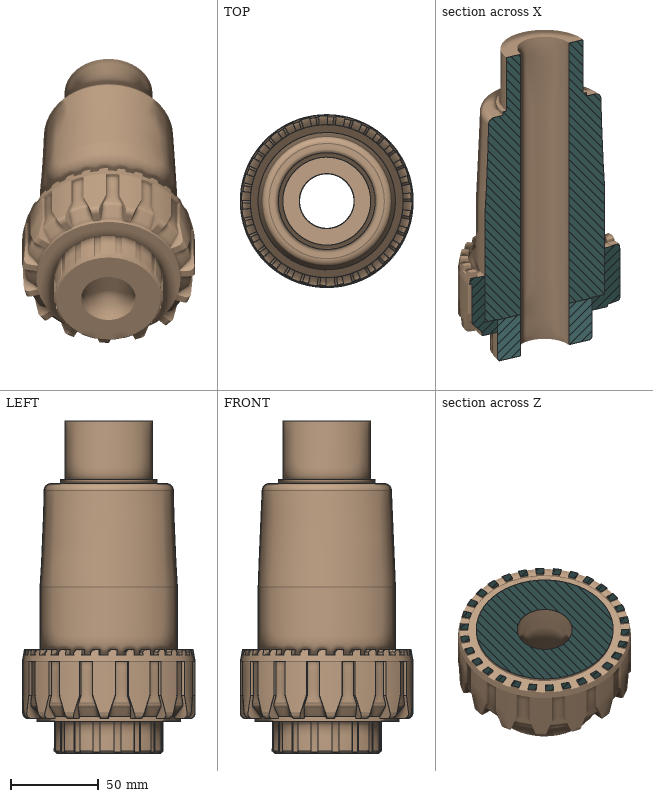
import cadquery as cq
import math

total_height = 189.2
bore_diameter = 31.0
connector_diameter = 62.0
housing_diameter = 78.15
nut_bottom = 18.2
nut_seat = 26.2

panel_count = 16
panel_pitch = 360.0 / panel_count
panel_offset = -1.95
flute_angle = panel_pitch / 3
flute_depth = 0.7
connector_chamfer = 1.5

taper_start = 94.7
shoulder_top = 153.5
shoulder_diameter = 73.2
shoulder_fillet = 4.0
collar_diameter = 55.0
collar_top = 155.7
spigot_diameter = 50.0

nut_radius = 98.3 / 2
flange_radius = 81.9 / 2
recess_radius = 47.4
recess_fillet = 3.0
rib_top = 52.2
crown_floor = 56.1
ring_floor = 55.6
crown_top = 59.1
crown_inner_radius = 87.0 / 2
crown_outer_radius = 47.9
cone_slope = math.radians(45)
cone_start = 20.9
cone_end = cone_start + (recess_radius - flange_radius) * math.tan(cone_slope)

rib_count = 15
rib_pitch = 360.0 / rib_count
rib_offset = 8.75
rib_width = 13.0
rib_tip_width = 4.0
rib_bottom = 19.8
rib_fillet = 3.2
rib_taper_start = 33.1
rib_embedding = 3.0

tooth_count = 2 * rib_count
tooth_pitch = 360.0 / tooth_count
tooth_offset = 11.6
tooth_angle = 5.9
bevel_angle = 1.7
bevel_height = 1.4
crown_overcut = 1.0


def polar(radius, degrees):
    """XY point at the given radius and angle from the +X axis."""
    angle = math.radians(degrees)
    return (radius * math.cos(angle), radius * math.sin(angle))


def turned(profile):
    """Solid of revolution about the Z axis of a closed XZ profile."""
    return profile.close().revolve(360, (0, 0, 0), (0, 1, 0))


def sector(inner_radius, outer_radius, start, end, bottom, top):
    """Ring sector between two angles and two levels."""
    middle = (start + end) / 2
    return (
        cq.Workplane("XY", origin=(0, 0, bottom))
        .moveTo(*polar(inner_radius, start))
        .lineTo(*polar(outer_radius, start))
        .threePointArc(polar(outer_radius, middle), polar(outer_radius, end))
        .lineTo(*polar(inner_radius, end))
        .threePointArc(polar(inner_radius, middle), polar(inner_radius, start))
        .close()
        .extrude(top - bottom)
    )


def make_connector():
    tube = (
        cq.Workplane("XY")
        .circle(connector_diameter / 2)
        .extrude(nut_seat)
        .faces("<Z")
        .chamfer(connector_chamfer)
    )
    flute_floor = connector_diameter / 2 - flute_depth
    for index in range(panel_count):
        middle = panel_offset + (index + 0.5) * panel_pitch
        flute = sector(
            flute_floor,
            connector_diameter / 2 + flute_depth,
            middle - flute_angle / 2,
            middle + flute_angle / 2,
            0,
            nut_bottom,
        )
        tube = tube.cut(flute)
    bore = cq.Workplane("XY").circle(bore_diameter / 2).extrude(nut_seat)
    return tube.cut(bore)


def make_housing():
    shoulder = turned(
        cq.Workplane("XZ")
        .moveTo(0, nut_seat)
        .lineTo(housing_diameter / 2, nut_seat)
        .lineTo(housing_diameter / 2, taper_start)
        .lineTo(shoulder_diameter / 2, shoulder_top)
        .lineTo(0, shoulder_top)
    ).faces(">Z").edges().fillet(shoulder_fillet)
    collar = (
        cq.Workplane("XY", origin=(0, 0, shoulder_top))
        .circle(collar_diameter / 2)
        .extrude(collar_top - shoulder_top)
    )
    spigot = (
        cq.Workplane("XY", origin=(0, 0, collar_top))
        .circle(spigot_diameter / 2)
        .extrude(total_height - collar_top)
    )
    bore = cq.Workplane("XY").circle(bore_diameter / 2).extrude(total_height)
    return shoulder.union(collar).union(spigot).cut(bore)


def make_nut_core():
    """Turned body with recess, lower cone, flange and upper band."""
    bend_tangent = recess_fillet * math.tan(cone_slope / 2)
    cone_top = (
        recess_radius - bend_tangent * math.cos(cone_slope),
        cone_end - bend_tangent * math.sin(cone_slope),
    )
    bend_top = (recess_radius, cone_end + bend_tangent)
    return turned(
        cq.Workplane("XZ")
        .moveTo(connector_diameter / 2, nut_bottom)
        .lineTo(flange_radius, nut_bottom)
        .lineTo(flange_radius, cone_start)
        .lineTo(*cone_top)
        .tangentArcPoint(bend_top, relative=False)
        .lineTo(recess_radius, rib_top)
        .lineTo(nut_radius, rib_top)
        .lineTo(crown_outer_radius, crown_top)
        .lineTo(crown_inner_radius, crown_top)
        .lineTo(crown_inner_radius, ring_floor)
        .lineTo(housing_diameter / 2, ring_floor)
        .lineTo(housing_diameter / 2, nut_seat)
        .lineTo(connector_diameter / 2, nut_seat)
    )


def make_ribs():
    """Full-round rib ring, trimmed to the tapered rib outlines."""
    root_radius = (connector_diameter / 2 + flange_radius) / 2
    buried_radius = recess_radius - rib_embedding
    ring = turned(
        cq.Workplane("XZ")
        .moveTo(root_radius, rib_bottom)
        .lineTo(nut_radius - rib_fillet, rib_bottom)
        .tangentArcPoint((nut_radius, rib_bottom + rib_fillet), relative=False)
        .lineTo(nut_radius, rib_top)
        .lineTo(buried_radius, rib_top)
        .lineTo(buried_radius, cone_end)
        .lineTo(root_radius, cone_start)
    )
    outline = (
        cq.Workplane("YZ")
        .moveTo(-rib_width / 2, rib_top)
        .lineTo(-rib_width / 2, rib_taper_start)
        .lineTo(-rib_tip_width / 2, rib_bottom)
        .lineTo(rib_tip_width / 2, rib_bottom)
        .lineTo(rib_width / 2, rib_taper_start)
        .lineTo(rib_width / 2, rib_top)
        .close()
        .extrude(nut_radius + rib_width)
    )
    rib = ring.intersect(outline)
    return [
        rib.rotate((0, 0, 0), (0, 0, 1), rib_offset + index * rib_pitch)
        for index in range(rib_count)
    ]


def cut_crown_gaps(nut):
    """Cut the crown ring into teeth with a bevel along one top edge of each."""
    gap = sector(
        crown_inner_radius - crown_overcut,
        nut_radius + crown_overcut,
        tooth_angle - tooth_pitch,
        0,
        crown_floor,
        crown_top + crown_overcut,
    )
    bevel_width = crown_outer_radius * math.radians(bevel_angle)
    bevel = (
        cq.Workplane("YZ", origin=(crown_inner_radius - crown_overcut, 0, 0))
        .moveTo(0, crown_top)
        .lineTo(0, crown_top - bevel_height)
        .lineTo(bevel_width, crown_top)
        .close()
        .extrude(nut_radius + crown_overcut - crown_inner_radius)
    )
    cutter = gap.union(bevel)
    for index in range(tooth_count):
        turn = tooth_offset + index * tooth_pitch
        nut = nut.cut(cutter.rotate((0, 0, 0), (0, 0, 1), turn))
    return nut


def make_nut():
    nut = make_nut_core()
    for rib in make_ribs():
        nut = nut.union(rib)
    return cut_crown_gaps(nut)


connector = make_connector()
housing = make_housing()
nut = make_nut()

result = cq.Compound.makeCompound([connector.val(), housing.val(), nut.val()])